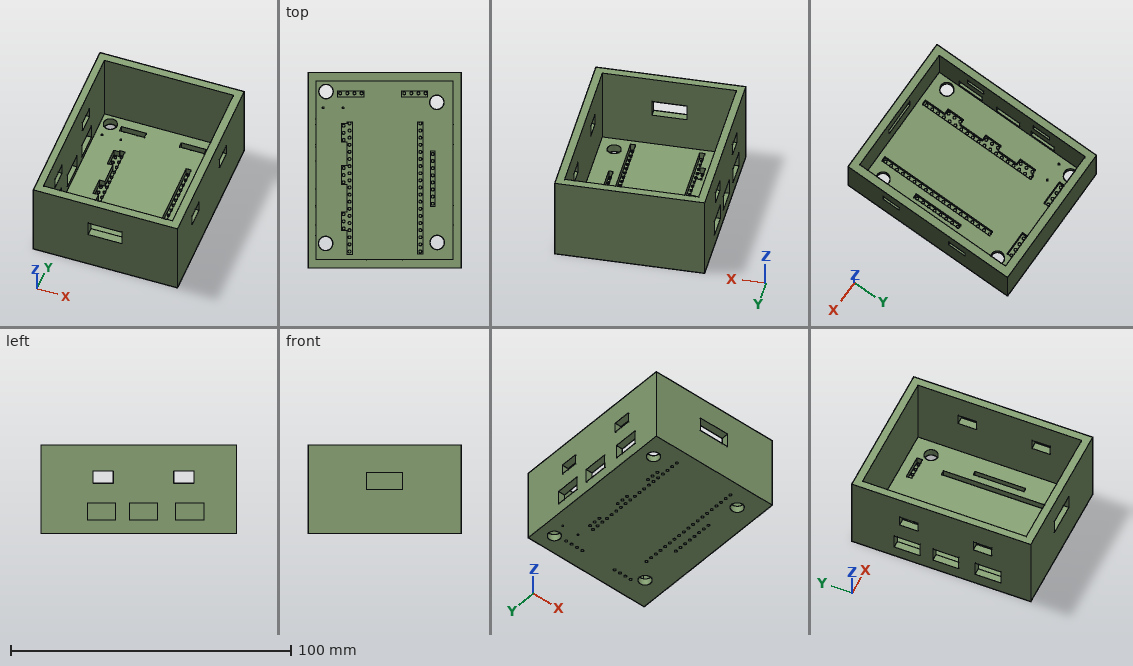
import cadquery as cq

length_x = 54.8
length_y = 69.9
height = 31.7
wall = 3.0
left_wall = 2.8
floor = 3.0

slot_depth = 2.5
pin_floor = 0.2
pin_d = 1.05
lead_d = 0.66
long_row_pins = 19
long_row_span = 45.7
pin_pitch = long_row_span / (long_row_pins - 1)

row_pin_x = (-12.6, 12.7)
row_pin_y = -6.15
row_slot_width = 1.9
row_slot_x = (-12.5, 12.7)
row_slot_back = 17.3
row_slot_length = (47.4, 47.2)

servo_pins = 3
servo_y = (13.35, -1.75, -18.25)
servo_pin_x = -14.7
bay_left = -15.5
bay_length = 6.7
servo_window_width = 10.1
servo_window_height = 6.1
servo_window_sill = 4.8

back_pins = 4
back_slot_x = (-12.1, 10.6)
back_pin_x = (-12.1, 10.75)
back_slot_y = 27.25
back_pin_y = 27.5
back_slot_length = 9.45
back_slot_width = 2.1

side_pins = 8
side_x = 17.1
side_y = -3.1
side_slot_width = 1.6
side_slot_length = 19.7

lead_x = (-22.0, -14.9)
lead_y = 22.3

mount_d = 5.0
mount_points = [(-21.0, 28.1), (18.6, 24.25), (-21.1, -26.15), (18.7, -25.8)]

upper_y = (12.7, -16.1)
upper_width = 7.1
upper_height = 4.3
upper_sill = 18.0

front_x = -0.15
front_width = 12.8
front_height = 6.1
front_sill = 15.7


def block(x_range, y_range, z_range):
    """Box between the given limits along each axis."""
    size = [high - low for low, high in (x_range, y_range, z_range)]
    corner = (x_range[0], y_range[0], z_range[0])
    return cq.Workplane("XY").box(*size, centered=False).translate(corner)


def span(centre, size):
    return (centre - size / 2, centre + size / 2)


def floor_slot(x_range, y_range):
    return block(x_range, y_range, (floor - slot_depth, floor))


def blind_holes(points, diameter):
    """Holes from the top of the floor down to the thin skin under the pins."""
    plane = cq.Workplane("XY", origin=(0, 0, pin_floor))
    return plane.pushPoints(points).circle(diameter / 2).extrude(floor - pin_floor)


def row_offsets(count):
    """Positions of evenly pitched pins about the middle of their row."""
    return [(i - (count - 1) / 2) * pin_pitch for i in range(count)]


def row_along_y(x, y, count):
    return [(x, y + offset) for offset in row_offsets(count)]


def row_along_x(x, y, count):
    return [(x + offset, y) for offset in row_offsets(count)]


left_face = -length_x / 2
right_face = length_x / 2
front_face = -length_y / 2
left_inner = left_face + left_wall

shell = block((left_face, right_face), span(0, length_y), (0, height))
cavity = block((left_inner, right_face - wall), span(0, length_y - 2 * wall), (floor, height))
case = shell.cut(cavity)

for y in upper_y:
    sill = (upper_sill, upper_sill + upper_height)
    case = case.cut(block((left_face, right_face), span(y, upper_width), sill))

for y in servo_y:
    sill = (servo_window_sill, servo_window_sill + servo_window_height)
    case = case.cut(block((left_face, left_inner), span(y, servo_window_width), sill))

case = case.cut(
    block(
        span(front_x, front_width),
        (front_face, front_face + wall),
        (front_sill, front_sill + front_height),
    )
)

for x, slot_length in zip(row_slot_x, row_slot_length):
    slot_y = (row_slot_back - slot_length, row_slot_back)
    case = case.cut(floor_slot(span(x, row_slot_width), slot_y))

for y in servo_y:
    case = case.cut(floor_slot((bay_left, row_slot_x[0]), span(y, bay_length)))

for x in back_slot_x:
    case = case.cut(floor_slot(span(x, back_slot_length), span(back_slot_y, back_slot_width)))

case = case.cut(floor_slot(span(side_x, side_slot_width), span(side_y, side_slot_length)))

pin_points = row_along_y(side_x, side_y, side_pins)
for x in row_pin_x:
    pin_points += row_along_y(x, row_pin_y, long_row_pins)
for y in servo_y:
    pin_points += row_along_y(servo_pin_x, y, servo_pins)
for x in back_pin_x:
    pin_points += row_along_x(x, back_pin_y, back_pins)
lead_points = [(x, lead_y) for x in lead_x]
case = case.cut(blind_holes(pin_points, pin_d))
case = case.cut(blind_holes(lead_points, lead_d))

mounts = cq.Workplane("XY").pushPoints(mount_points).circle(mount_d / 2).extrude(floor)
result = case.cut(mounts)